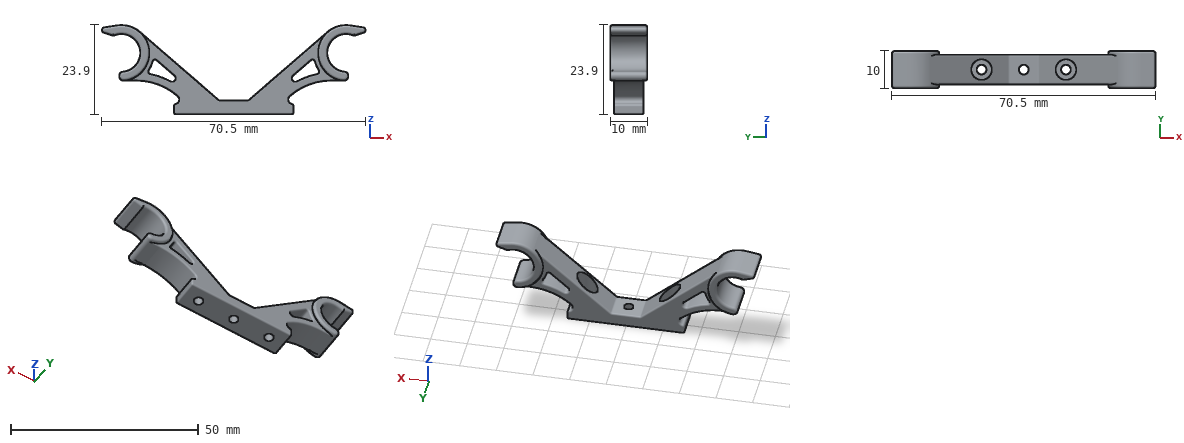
import cadquery as cq
import math

half_length = 35.25
height = 23.9

clip_width = 10.0
clip_outer_radius = 7.5
clip_inner_radius = 5.0
clip_center_x = -30.05
clip_center_z = height - clip_outer_radius
clip_edge_fillet = 0.7
lip_angle = 5.5
mouth_angle = 25.0
tip_slope = 8.7
tip_radius = 0.8

body_width = 8.0
body_edge_fillet = 0.5
base_half_length = 16.0
plate_half_length = 3.95
plate_thickness = 3.75
bend_fillet = 0.7
underside_radius = 16.9
underside_start_x = -26.1
ledge_fillet = 0.7
ledge_height = 2.8
notch_radius = 1.2

window_slope_wall = 2.8
window_underside_wall = 2.2
window_clip_wall = 1.2
window_end_radius = 0.9
window_corner_fillet = 0.6

hole_diameter = 2.55
counterbore_diameter = 5.5
side_hole_x = 11.3
counterbore_floor = plate_thickness

clip_center = (clip_center_x, clip_center_z)
clip_middle_radius = (clip_outer_radius + clip_inner_radius) / 2
lip_radius = (clip_outer_radius - clip_inner_radius) / 2


def polar(center, radius, angle):
    """Point on a circle, with the angle in degrees from +X towards +Z."""
    turn = math.radians(angle)
    return (center[0] + radius * math.cos(turn), center[1] + radius * math.sin(turn))


def direction(start, end):
    """Angle in degrees of the line from start to end."""
    return math.degrees(math.atan2(end[1] - start[1], end[0] - start[0]))


def touch_angle(center, radius, point):
    """Angle between the line from a circle's center to a point and its touching radius."""
    return math.degrees(math.acos(radius / math.dist(center, point)))


def circles_crossing(center_a, radius_a, center_b, radius_b):
    """Crossing of two circles, on the left when going from center_a to center_b."""
    gap = math.dist(center_a, center_b)
    cosine = (radius_a**2 + gap**2 - radius_b**2) / (2 * radius_a * gap)
    return polar(center_a, radius_a, direction(center_a, center_b) + math.degrees(math.acos(cosine)))


def extrude_outline(outline, width):
    """Closed XZ outline extruded evenly to both sides of Y = 0."""
    return outline.close().extrude(width / 2, both=True)


def fillet_corner(shape, corner, radius):
    """Rounds the edge along Y nearest to an XZ corner."""
    nearest = cq.selectors.NearestToPointSelector((corner[0], 0, corner[1]))
    return shape.edges(nearest).fillet(radius)


bend = (-plate_half_length, plate_thickness)
slope_normal = direction(clip_center, bend) + touch_angle(clip_center, clip_outer_radius, bend)
slope_end = polar(clip_center, clip_outer_radius, slope_normal)

lip_end = polar(clip_center, clip_outer_radius, lip_angle - 90)
underside_center = (underside_start_x, lip_end[1] - underside_radius)


def make_clip():
    """Left clip: an open ring with a tapered tip above and a rounded lip below."""
    tip_normal = 90 + tip_slope
    tip_center_x = tip_radius - half_length
    outer_flat_start = polar(clip_center, clip_outer_radius, tip_normal)
    tip_line = polar(clip_center, clip_outer_radius - tip_radius, tip_normal)
    tip_drop = (tip_line[0] - tip_center_x) * math.tan(math.radians(tip_slope))
    tip_center = (tip_center_x, tip_line[1] - tip_drop)

    mouth = polar(clip_center, clip_inner_radius, 90 + mouth_angle)
    inner_flat_normal = direction(tip_center, mouth) - touch_angle(tip_center, tip_radius, mouth)
    lip_center = polar(clip_center, clip_middle_radius, lip_angle - 90)
    lip_start = polar(clip_center, clip_inner_radius, lip_angle - 90)

    outline = (
        cq.Workplane("XZ")
        .moveTo(*outer_flat_start)
        .lineTo(*polar(tip_center, tip_radius, tip_normal))
        .threePointArc((-half_length, tip_center[1]), polar(tip_center, tip_radius, inner_flat_normal))
        .lineTo(*mouth)
        .threePointArc(polar(clip_center, clip_inner_radius, 0), lip_start)
        .threePointArc(polar(lip_center, lip_radius, lip_angle - 180), lip_end)
        .threePointArc(polar(clip_center, clip_outer_radius, 0), outer_flat_start)
    )
    return extrude_outline(outline, clip_width).faces("<Y or >Y").edges().fillet(clip_edge_fillet)


def make_half_body():
    """The body left of X = 0, before its window and edge fillets."""
    ledge_center = (ledge_fillet - base_half_length, ledge_height - ledge_fillet)
    notch_center = circles_crossing(
        underside_center, underside_radius - notch_radius, ledge_center, ledge_fillet + notch_radius
    )
    underside_end_angle = direction(underside_center, notch_center)
    underside_end = polar(underside_center, underside_radius, underside_end_angle)
    ledge_end_angle = direction(ledge_center, notch_center)
    ledge_end = polar(ledge_center, ledge_fillet, ledge_end_angle)
    ledge_middle = polar(ledge_center, ledge_fillet, (ledge_end_angle + 180) / 2)
    underside_middle = polar(underside_center, underside_radius, (90 + underside_end_angle) / 2)
    buried_top = polar(clip_center, clip_middle_radius, slope_normal)
    buried_bottom = polar(clip_center, clip_middle_radius, lip_angle - 90)

    outline = (
        cq.Workplane("XZ")
        .moveTo(0, 0)
        .lineTo(0, plate_thickness)
        .lineTo(*bend)
        .lineTo(*slope_end)
        .lineTo(*buried_top)
        .threePointArc(polar(clip_center, clip_middle_radius, 0), buried_bottom)
        .lineTo(*lip_end)
        .lineTo(underside_start_x, lip_end[1])
        .threePointArc(underside_middle, underside_end)
        .threePointArc(polar(notch_center, notch_radius, 0), ledge_end)
        .threePointArc(ledge_middle, polar(ledge_center, ledge_fillet, 180))
        .lineTo(-base_half_length, 0)
    )
    half_body = extrude_outline(outline, body_width)
    return fillet_corner(half_body, bend, bend_fillet)


def make_window():
    """Filler of the left arm's three-sided window."""
    floor_radius = underside_radius + window_underside_wall
    clip_wall_radius = clip_outer_radius + window_clip_wall
    roof_from_clip = clip_outer_radius - window_slope_wall

    roof_offset = math.degrees(math.acos(roof_from_clip / clip_wall_radius))
    top_corner = polar(clip_center, clip_wall_radius, slope_normal - roof_offset)
    low_corner = circles_crossing(clip_center, clip_wall_radius, underside_center, floor_radius)

    normal_turn = math.radians(slope_normal)
    roof_height = (
        (top_corner[0] - underside_center[0]) * math.cos(normal_turn)
        + (top_corner[1] - underside_center[1]) * math.sin(normal_turn)
    )
    end_distance = floor_radius + window_end_radius
    end_turn = math.degrees(math.acos((roof_height - window_end_radius) / end_distance))
    floor_end_angle = slope_normal + end_turn
    end_center = polar(underside_center, end_distance, floor_end_angle)
    floor_end = polar(underside_center, floor_radius, floor_end_angle)

    floor_middle_angle = (direction(underside_center, low_corner) + floor_end_angle) / 2
    wall_middle_angle = (direction(clip_center, low_corner) + direction(clip_center, top_corner)) / 2
    outline = (
        cq.Workplane("XZ")
        .moveTo(*top_corner)
        .lineTo(*polar(end_center, window_end_radius, slope_normal))
        .threePointArc(polar(end_center, window_end_radius, slope_normal - 90), floor_end)
        .threePointArc(polar(underside_center, floor_radius, floor_middle_angle), low_corner)
        .threePointArc(polar(clip_center, clip_wall_radius, wall_middle_angle), top_corner)
    )
    window = extrude_outline(outline, body_width)
    for corner in (top_corner, low_corner):
        window = fillet_corner(window, corner, window_corner_fillet)
    return window


def both_sides(shape):
    """The shape together with a copy turned half a turn about Z."""
    return shape.union(shape.rotate((0, 0, 0), (0, 0, 1), 180))


def vertical_cylinder(x, floor, diameter):
    """Upright cutter that starts at the floor and reaches above the part."""
    return cq.Workplane("XY", origin=(x, 0, floor)).circle(diameter / 2).extrude(height)


body = both_sides(make_half_body().cut(make_window())).clean()
base_ends = body.faces("<Z").edges("|Y")
body = body.faces("<Y or >Y").edges().add(base_ends).fillet(body_edge_fillet)

result = body.union(both_sides(make_clip()))

result = result.cut(vertical_cylinder(0, 0, hole_diameter))
side_hole = vertical_cylinder(-side_hole_x, 0, hole_diameter).union(
    vertical_cylinder(-side_hole_x, counterbore_floor, counterbore_diameter)
)
result = result.cut(both_sides(side_hole))